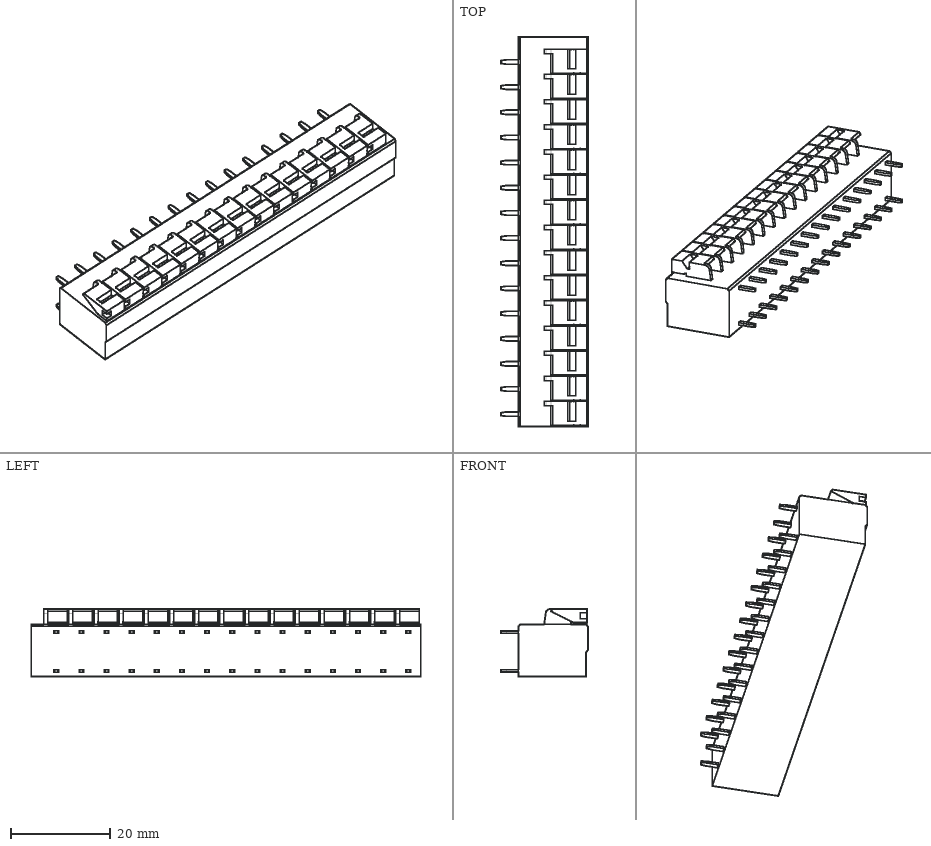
import cadquery as cq


POLES = 15
PITCH = 5.08
BODY_LENGTH = POLES * PITCH + PITCH / 2
OVERALL_WIDTH = 17.6
OVERALL_HEIGHT = 13.7

PIN_LENGTH = 3.5
BODY_LEFT = PIN_LENGTH
BODY_RIGHT = OVERALL_WIDTH
BODY_HEIGHT = 10.55
LEFT_CHAMFER = 0.4
RIGHT_CHAMFER_WIDTH = 0.3
RIGHT_CHAMFER_HEIGHT = 0.5
STEP_DEPTH = 0.4
STEP_BOTTOM = 4.9
STEP_TOP = 5.4

PIN_WIDTH = 0.95
PIN_THICKNESS = 0.5
PIN_TIP_WIDTH = 0.6
PIN_TAPER = 1.1
PIN_ROWS = (1.2, 9.0)
FIRST_PIN_Y = PITCH / 2

LEVER_WIDTH = 4.8
LEVER_Y_START = 0.3
LEVER_RIGHT = 17.4
LEVER_BOTTOM = 10.9
FLAP_LEFT = 10.1
FLAP_CHAMFER_WIDTH = 0.4
FLAP_CHAMFER_HEIGHT = 0.5
FLAP_RAMP_END = 14.7

FIN_WIDTH = 0.85
FIN_LEFT = 8.7
FIN_RIGHT = 14.2
FIN_LEAN = 0.45
FIN_RADIUS = 1.0

SLOT_LENGTH = 3.95
SLOT_LEFT = 13.45
SLOT_FLOOR_END = 13.95
SLOT_RIGHT = 15.1
SLOT_DEPTH = 1.5

NOTCH_WIDTH = 1.4
NOTCH_BOTTOM = 11.7
NOTCH_TOP = 12.9
NOTCH_DEPTH = 1.2


def extrude_along_y(points, y_start, length):
    """Extrude a closed XZ outline from y_start toward +Y."""
    plane = cq.Workplane("XZ", origin=(0, y_start, 0))
    return plane.polyline(points).close().extrude(-length)


def make_body():
    outline = [
        (BODY_LEFT, 0),
        (BODY_RIGHT - STEP_DEPTH, 0),
        (BODY_RIGHT - STEP_DEPTH, STEP_BOTTOM),
        (BODY_RIGHT, STEP_TOP),
        (BODY_RIGHT, BODY_HEIGHT - RIGHT_CHAMFER_HEIGHT),
        (BODY_RIGHT - RIGHT_CHAMFER_WIDTH, BODY_HEIGHT),
        (BODY_LEFT + LEFT_CHAMFER, BODY_HEIGHT),
        (BODY_LEFT, BODY_HEIGHT - LEFT_CHAMFER),
    ]
    return extrude_along_y(outline, 0, BODY_LENGTH)


def make_pin(y_center, z_center):
    """Flat pin on the -X face, narrowing in Y toward its tip at x = 0."""
    outline = [
        (0, -PIN_TIP_WIDTH / 2),
        (PIN_TAPER, -PIN_WIDTH / 2),
        (PIN_LENGTH, -PIN_WIDTH / 2),
        (PIN_LENGTH, PIN_WIDTH / 2),
        (PIN_TAPER, PIN_WIDTH / 2),
        (0, PIN_TIP_WIDTH / 2),
    ]
    plane = cq.Workplane("XY", origin=(0, y_center, z_center))
    return plane.polyline(outline).close().extrude(PIN_THICKNESS / 2, both=True)


def make_flap():
    outline = [
        (FLAP_LEFT, OVERALL_HEIGHT - FLAP_CHAMFER_HEIGHT),
        (FLAP_RAMP_END, LEVER_BOTTOM),
        (LEVER_RIGHT, LEVER_BOTTOM),
        (LEVER_RIGHT, OVERALL_HEIGHT),
        (FLAP_LEFT + FLAP_CHAMFER_WIDTH, OVERALL_HEIGHT),
    ]
    return extrude_along_y(outline, 0, LEVER_WIDTH)


def make_fin():
    """Upright web with a leaning, rounded -X edge that ties the flap to the body."""
    outline = [
        (FIN_LEFT, BODY_HEIGHT),
        (FIN_RIGHT, BODY_HEIGHT),
        (FIN_RIGHT, OVERALL_HEIGHT),
        (FIN_LEFT + FIN_LEAN, OVERALL_HEIGHT),
    ]
    fin = extrude_along_y(outline, LEVER_WIDTH - FIN_WIDTH, FIN_WIDTH)
    return fin.edges("|Y and >Z").edges("<X").fillet(FIN_RADIUS)


def make_slot():
    outline = [
        (SLOT_LEFT, OVERALL_HEIGHT),
        (SLOT_LEFT, OVERALL_HEIGHT - SLOT_DEPTH),
        (SLOT_FLOOR_END, OVERALL_HEIGHT - SLOT_DEPTH),
        (SLOT_RIGHT, OVERALL_HEIGHT),
    ]
    return extrude_along_y(outline, LEVER_WIDTH - SLOT_LENGTH, SLOT_LENGTH)


def make_notch():
    outline = [
        (LEVER_RIGHT - NOTCH_WIDTH, NOTCH_BOTTOM),
        (LEVER_RIGHT, NOTCH_BOTTOM),
        (LEVER_RIGHT, NOTCH_TOP),
        (LEVER_RIGHT - NOTCH_WIDTH, NOTCH_TOP),
    ]
    return extrude_along_y(outline, 0, NOTCH_DEPTH)


def make_lever():
    """One lever with its -Y side at y = 0."""
    return make_flap().union(make_fin()).cut(make_slot()).cut(make_notch())


result = make_body()
lever = make_lever()
for pole in range(POLES):
    pole_offset = pole * PITCH
    result = result.union(lever.translate((0, LEVER_Y_START + pole_offset, 0)))
    for row_z in PIN_ROWS:
        result = result.union(make_pin(FIRST_PIN_Y + pole_offset, row_z))